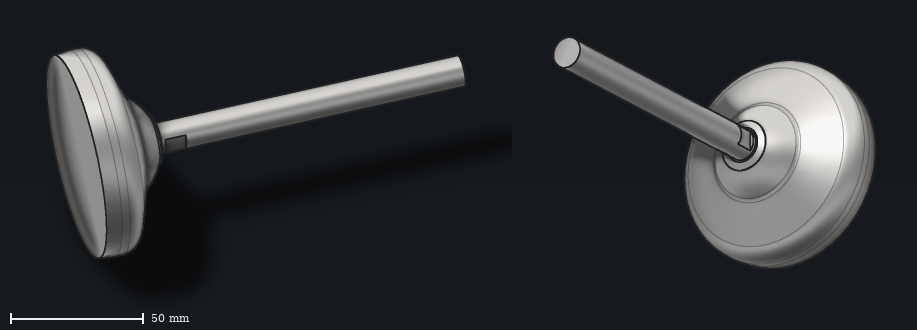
import cadquery as cq
import math

total_length = 151.5
floor_y = -total_length / 2

foot_radius = 40.0
floor_radius = 39.2
skirt_height = 5.9
band_height = 9.1
shoulder_radius = 7.4
slope_angle = math.radians(21)
dome_radius = 23.0
dome_center_height = 9.1
dome_base_radius = 18.3
dome_top_height = 30.1

rod_radius = 6.0
flange_rim_radius = 9.8
flange_rim_height = 30.8
flange_top_radius = 6.8
flange_top_height = 31.8
flat_offset = 4.7
flat_bottom_height = 33.5
flat_top_height = 41.7


def dome_height(radius):
    return dome_center_height + math.sqrt(dome_radius**2 - radius**2)


def dome_radius_at(height):
    return math.sqrt(dome_radius**2 - (height - dome_center_height) ** 2)


def revolve_profile(profile):
    """Turn a half profile, drawn from the floor face up, about the Y axis."""
    solid = profile.close().revolve(360, (0, 0, 0), (0, 1, 0))
    return solid.translate((0, floor_y, 0))


def make_foot():
    shoulder_center = foot_radius - shoulder_radius

    def shoulder_point(angle):
        return (
            shoulder_center + shoulder_radius * math.cos(angle),
            band_height + shoulder_radius * math.sin(angle),
        )

    shoulder_end_angle = math.pi / 2 - slope_angle
    slope_start = shoulder_point(shoulder_end_angle)
    dome_start = (dome_base_radius, dome_height(dome_base_radius))

    dome_angle = math.acos(dome_base_radius / dome_radius)
    slope_normal = (math.cos(shoulder_end_angle), math.sin(shoulder_end_angle))
    radial_step = dome_start[0] - slope_start[0]
    height_step = dome_start[1] - slope_start[1]
    gap = radial_step * slope_normal[0] + height_step * slope_normal[1]
    hollow_radius = gap / (1 - math.cos(shoulder_end_angle - dome_angle))

    def hollow_point(angle):
        return (
            dome_start[0] + hollow_radius * (math.cos(dome_angle) - math.cos(angle)),
            dome_start[1] + hollow_radius * (math.sin(dome_angle) - math.sin(angle)),
        )

    hollow_middle_angle = (shoulder_end_angle + dome_angle) / 2
    dome_end = (dome_radius_at(dome_top_height), dome_top_height)
    dome_middle_radius = (dome_start[0] + dome_end[0]) / 2
    profile = (
        cq.Workplane("XY")
        .lineTo(floor_radius, 0)
        .lineTo(foot_radius, skirt_height)
        .lineTo(foot_radius, band_height)
        .threePointArc(shoulder_point(shoulder_end_angle / 2), slope_start)
        .lineTo(*hollow_point(shoulder_end_angle))
        .threePointArc(hollow_point(hollow_middle_angle), dome_start)
        .threePointArc((dome_middle_radius, dome_height(dome_middle_radius)), dome_end)
        .lineTo(0, dome_top_height)
    )
    return revolve_profile(profile)


def make_spindle():
    spindle = revolve_profile(
        cq.Workplane("XY")
        .moveTo(0, dome_top_height)
        .lineTo(dome_radius_at(dome_top_height), dome_top_height)
        .lineTo(flange_rim_radius, flange_rim_height)
        .lineTo(flange_top_radius, flange_top_height)
        .lineTo(rod_radius, flange_top_height)
        .lineTo(rod_radius, total_length)
        .lineTo(0, total_length)
    )
    flat_length = flat_top_height - flat_bottom_height
    flat_middle_y = floor_y + (flat_bottom_height + flat_top_height) / 2
    for side in (-1, 1):
        cutter = cq.Workplane("XY").box(2 * rod_radius, flat_length, 2 * rod_radius)
        cutter_x = side * (flat_offset + rod_radius)
        spindle = spindle.cut(cutter.translate((cutter_x, flat_middle_y, 0)))
    return spindle


foot = make_foot()
spindle = make_spindle()
result = cq.Compound.makeCompound([foot.val(), spindle.val()])